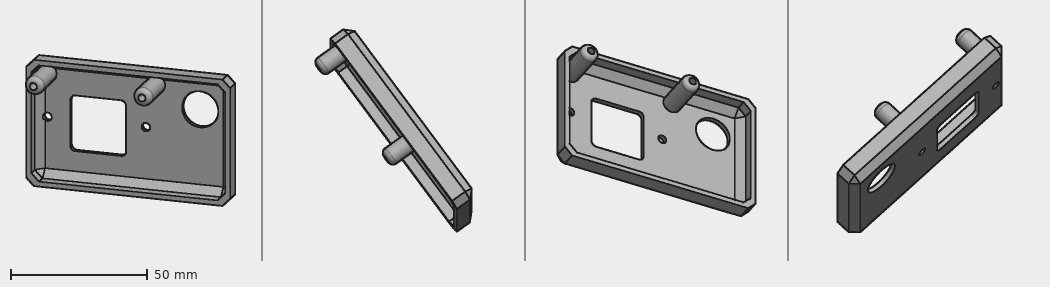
import cadquery as cq

LENGTH = 79.0
HEIGHT = 49.0
DEPTH = 8.9
WALL = 2.0
BEVEL = 3.0
FLOOR_THICKNESS = 1.9
FLOOR_Y = DEPTH - FLOOR_THICKNESS

TOTAL_DEPTH = 18.5
POST_TIP_Y = DEPTH - TOTAL_DEPTH
POST_DIAMETER = 7.0
POST_BORE = 2.8
POST_ROUNDING = 2.0
LEFT_COLUMN_X = -33.6
POST_CENTERS = [(LEFT_COLUMN_X, 17.45), (8.45, 17.45)]

SCREW_HOLE = 3.2
SCREW_CENTERS = [(LEFT_COLUMN_X, 0.5), (4.5, 0.5)]
ROUND_OPENING = 14.0
ROUND_CENTER = (25.5, 9.55)
SQUARE_OPENING = 21.6
SQUARE_ROUNDING = 2.0
SQUARE_CENTER = (-14.0, -0.95)


def bevelled_block(length, height, depth):
    """Block from the rim plane to Y = depth, bevelled at its corners and back edges."""
    block = cq.Workplane("XY").box(length, depth, height).translate((0, depth / 2, 0))
    return block.edges("|Y or >Y").chamfer(BEVEL)


def cylinder(diameter, center, start_y, end_y):
    """Cylinder along Y around the given (X, Z) center."""
    x, z = center
    length = end_y - start_y
    base = cq.Vector(x, start_y, z)
    return cq.Workplane(cq.Solid.makeCylinder(diameter / 2, length, base, cq.Vector(0, 1, 0)))


def square_cutter():
    """Round-cornered square prism through the floor."""
    x, z = SQUARE_CENTER
    cutter = cq.Workplane("XY").box(SQUARE_OPENING, DEPTH, SQUARE_OPENING)
    return cutter.edges("|Y").fillet(SQUARE_ROUNDING).translate((x, DEPTH / 2, z))


outer = bevelled_block(LENGTH, HEIGHT, DEPTH)
cavity = bevelled_block(LENGTH - 2 * WALL, HEIGHT - 2 * WALL, FLOOR_Y)
result = outer.cut(cavity)

for post_center in POST_CENTERS:
    post = cylinder(POST_DIAMETER, post_center, POST_TIP_Y, FLOOR_Y)
    post = post.faces("<Y").edges().fillet(POST_ROUNDING)
    result = result.union(post.cut(cylinder(POST_BORE, post_center, POST_TIP_Y, FLOOR_Y)))

for screw_center in SCREW_CENTERS:
    result = result.cut(cylinder(SCREW_HOLE, screw_center, 0, DEPTH))

result = result.cut(cylinder(ROUND_OPENING, ROUND_CENTER, 0, DEPTH))
result = result.cut(square_cutter())